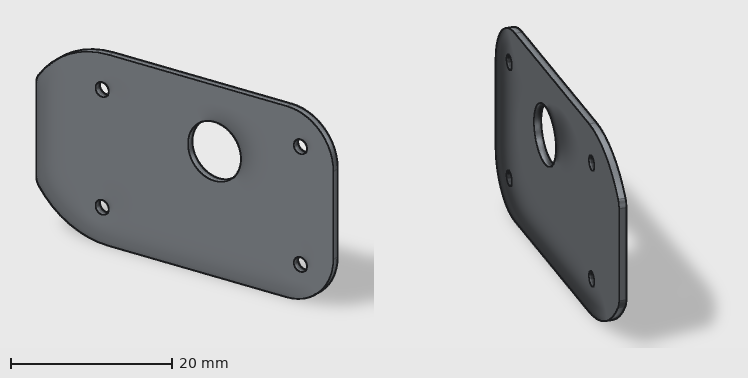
import cadquery as cq
import math

length = 45.0
height = 26.0
thickness = 1.0

right_corner_radius = 7.0
left_arc_radius = height / 2
left_arc_center_x = 11.0
left_corner_radius = 2.0

mount_hole_diameter = 2.0
mount_hole_left_x = 10.0
mount_hole_spacing_x = 30.0
mount_hole_spacing_z = 16.0

opening_diameter = 8.0
opening_x = 27.0
opening_z = 4.0

left_edge_half = math.sqrt(left_arc_radius**2 - left_arc_center_x**2)


def arc_midpoint(side):
    """Middle of the large left arc; side is +1 for the top, -1 for the bottom."""
    edge_angle = math.atan2(left_edge_half, left_arc_center_x)
    middle_angle = (edge_angle + math.pi / 2) / 2
    x = left_arc_center_x - left_arc_radius * math.cos(middle_angle)
    z = side * left_arc_radius * math.sin(middle_angle)
    return (x, z)


def make_plate():
    """Plate outline with its origin at the middle of the left edge."""
    plate = (
        cq.Workplane("XZ")
        .moveTo(0, left_edge_half)
        .threePointArc(arc_midpoint(1), (left_arc_center_x, height / 2))
        .lineTo(length, height / 2)
        .lineTo(length, -height / 2)
        .lineTo(left_arc_center_x, -height / 2)
        .threePointArc(arc_midpoint(-1), (0, -left_edge_half))
        .close()
        .extrude(thickness)
    )
    plate = plate.edges("|Y and >X").fillet(right_corner_radius)
    return plate.edges("|Y and <X").fillet(left_corner_radius)


def through_holes(points, diameter):
    """Cutters along Y, passing through the full thickness."""
    return cq.Workplane("XZ").pushPoints(points).circle(diameter / 2).extrude(thickness)


mount_points = [
    (x, z)
    for x in (mount_hole_left_x, mount_hole_left_x + mount_hole_spacing_x)
    for z in (-mount_hole_spacing_z / 2, mount_hole_spacing_z / 2)
]

result = (
    make_plate()
    .cut(through_holes(mount_points, mount_hole_diameter))
    .cut(through_holes([(opening_x, opening_z)], opening_diameter))
)